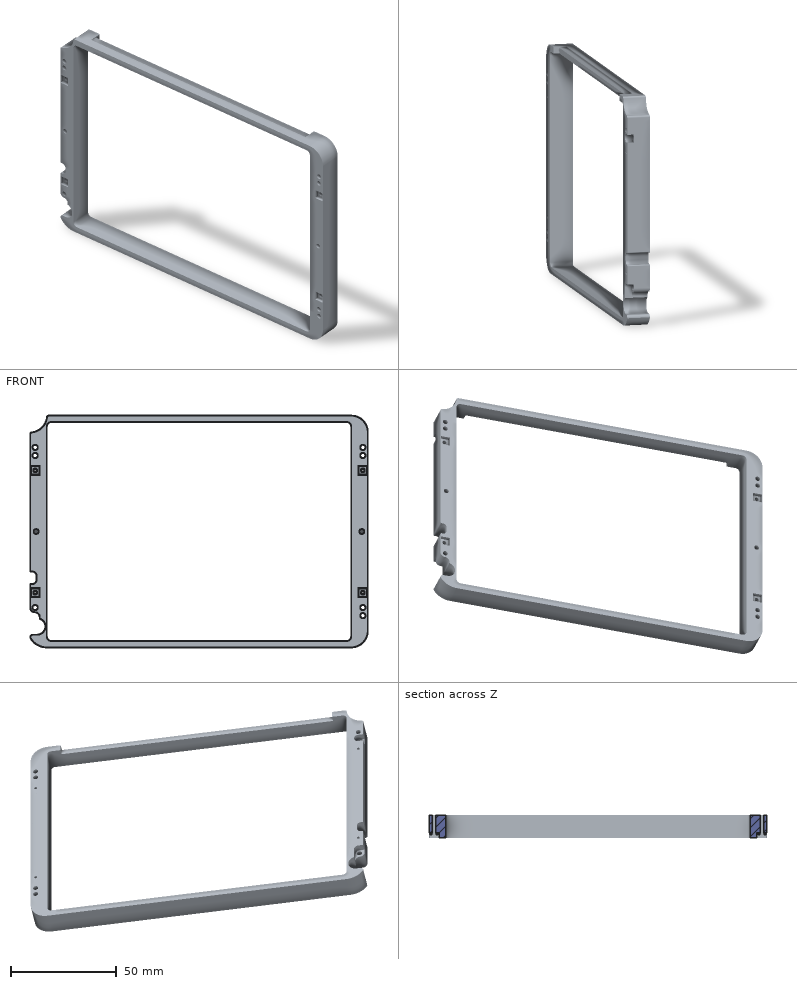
import cadquery as cq
import math

LENGTH = 159.7
RIGHT_X = LENGTH / 2
LEFT_X = -RIGHT_X
HEIGHT = 109.7
TOP_Z = HEIGHT / 2
BOTTOM_Z = -TOP_Z
DEPTH = 11.0
FRONT_Y = -DEPTH / 2
BACK_Y = DEPTH / 2
CORNER_RADIUS = 8.0
OVERCUT = 1.6

WINDOW_WIDTH = 143.7
WINDOW_HEIGHT = 103.3
WINDOW_RADIUS = 1.9

SCOOP_RADIUS = 8.0
SCOOP_EDGE_RADIUS = 1.0

NOTCH_Z = -21.9
NOTCH_HEIGHT = 5.7
NOTCH_DEPTH = 3.0
NOTCH_CORNER_RADIUS = 1.9
NOTCH_LIP_RADIUS = 0.5

HOLE_X = 77.5
HOLE_INNER_Z = 36.0
HOLE_OUTER_Z = 39.8
HOLE_DIAMETER = 2.4
BLIND_HOLE_X = 77.0
BLIND_HOLE_DEPTH = 3.2

RELIEF_WIDTH = 4.0
RELIEF_DEPTH = 3.4

LOBE_RADIUS = 2.2
LOBE_X = LEFT_X + LOBE_RADIUS
LOBE_BOTTOM_Z = -HOLE_INNER_Z - LOBE_RADIUS
STEP_RADIUS = LOBE_RADIUS
STEP_X = LOBE_X + STEP_RADIUS
BAY_X = -76.5
BAY_Z = -44.9
BAY_RADIUS = 3.8
BAY_TOP_Z = BAY_Z + math.sqrt(BAY_RADIUS**2 - (STEP_X - BAY_X) ** 2)
BAY_BOTTOM_Z = BAY_Z - BAY_RADIUS
TIP_RADIUS = 1.5
HOOK_END_X = -71.9

RECESS_X = 0.3
RECESS_LENGTH = 130.3
RECESS_WIDTH = 6.4
RECESS_DEPTH = 0.5
GAP_WIDTH = 2.9

NUT_X = 77.5
NUT_Z = 28.9
NUT_SIZE = 3.8
NUT_THICKNESS = 1.1
NUT_HOLE_DIAMETER = 1.9
POCKET_SIZE = 4.5
POCKET_DEPTH = 2.5
SCREW_HOLE_DIAMETER = 1.35
NUT_CENTRES = [(x, z) for x in (-NUT_X, NUT_X) for z in (-NUT_Z, NUT_Z)]


def plane_at(y):
    """Workplane at depth y whose axes are X and Z; positive extrusion goes toward the front."""
    return cq.Workplane("XZ", origin=(0, y, 0))


def block(x_min, x_max, y_min, y_max, z_min, z_max):
    size = (x_max - x_min, y_max - y_min, z_max - z_min)
    return cq.Workplane("XY").box(*size, centered=False).translate((x_min, y_min, z_min))


def cylinders(centres, diameter, y_front, length):
    """Cylinders along Y that start at y_front and run toward the back."""
    return plane_at(y_front).pushPoints(centres).circle(diameter / 2).extrude(-length)


def make_plate():
    """Solid plate with rounded right corners, a scooped top-left and a hooked bottom-left corner."""
    tip_z = BAY_BOTTOM_Z - TIP_RADIUS
    outline = (
        plane_at(BACK_Y)
        .moveTo(HOOK_END_X, BOTTOM_Z)
        .lineTo(RIGHT_X - CORNER_RADIUS, BOTTOM_Z)
        .tangentArcPoint((RIGHT_X, BOTTOM_Z + CORNER_RADIUS), relative=False)
        .lineTo(RIGHT_X, TOP_Z - CORNER_RADIUS)
        .tangentArcPoint((RIGHT_X - CORNER_RADIUS, TOP_Z), relative=False)
        .lineTo(LEFT_X + SCOOP_RADIUS, TOP_Z)
        .radiusArc((LEFT_X, TOP_Z - SCOOP_RADIUS), SCOOP_RADIUS)
        .lineTo(LEFT_X, -HOLE_INNER_Z)
        .tangentArcPoint((LOBE_X, LOBE_BOTTOM_Z), relative=False)
        .tangentArcPoint((STEP_X, LOBE_BOTTOM_Z - STEP_RADIUS), relative=False)
        .lineTo(STEP_X, BAY_TOP_Z)
        .threePointArc((BAY_X + BAY_RADIUS, BAY_Z), (BAY_X, BAY_BOTTOM_Z))
        .lineTo(LEFT_X + TIP_RADIUS, BAY_BOTTOM_Z)
        .tangentArcPoint((LEFT_X, tip_z), relative=False)
    )
    run = HOOK_END_X - LEFT_X
    rise = tip_z - BOTTOM_Z
    hook_radius = (run**2 + rise**2) / (2 * rise)
    half_angle = math.atan2(rise, run)
    middle = (
        HOOK_END_X - hook_radius * math.sin(half_angle),
        BOTTOM_Z + hook_radius * (1 - math.cos(half_angle)),
    )
    plate = outline.threePointArc(middle, (HOOK_END_X, BOTTOM_Z)).close().extrude(DEPTH)
    scoop_ends = [(LEFT_X + SCOOP_RADIUS, TOP_Z), (LEFT_X, TOP_Z - SCOOP_RADIUS)]
    return round_edges(plate, scoop_ends, SCOOP_EDGE_RADIUS)


def round_edges(body, points, radius):
    """Fillet the edges along Y that pass through the given (x, z) points."""
    for x, z in points:
        body = body.edges(cq.selectors.NearestToPointSelector((x, 0, z))).fillet(radius)
    return body


def cut_window(frame):
    window = plane_at(BACK_Y).rect(WINDOW_WIDTH, WINDOW_HEIGHT).extrude(DEPTH)
    return frame.cut(window.edges("|Y").fillet(WINDOW_RADIUS))


def cut_notch(frame):
    top_z = NOTCH_Z + NOTCH_HEIGHT / 2
    bottom_z = NOTCH_Z - NOTCH_HEIGHT / 2
    notch = block(LEFT_X - OVERCUT, LEFT_X + NOTCH_DEPTH, FRONT_Y, BACK_Y, bottom_z, top_z)
    frame = frame.cut(notch.edges("|Y and >X").fillet(NOTCH_CORNER_RADIUS))
    return round_edges(frame, [(LEFT_X, top_z), (LEFT_X, bottom_z)], NOTCH_LIP_RADIUS)


def cut_holes(frame):
    through = [
        (-HOLE_X, HOLE_OUTER_Z),
        (-HOLE_X, HOLE_INNER_Z),
        (-HOLE_X, -HOLE_INNER_Z),
        (HOLE_X, HOLE_OUTER_Z),
        (HOLE_X, HOLE_INNER_Z),
        (HOLE_X, -HOLE_INNER_Z),
        (HOLE_X, -HOLE_OUTER_Z),
    ]
    blind = [(-BLIND_HOLE_X, 0), (BLIND_HOLE_X, 0)]
    frame = frame.cut(cylinders(through, HOLE_DIAMETER, FRONT_Y, DEPTH))
    return frame.cut(cylinders(blind, HOLE_DIAMETER, FRONT_Y, BLIND_HOLE_DEPTH))


def cut_back_reliefs(frame):
    """Round-ended slots behind two left holes; the lower one also opens down into the bay."""
    floor_y = BACK_Y - RELIEF_DEPTH
    outside_x = LEFT_X - OVERCUT
    for z in (HOLE_INNER_Z, -HOLE_INNER_Z):
        frame = frame.cut(cylinders([(-HOLE_X, z)], RELIEF_WIDTH, floor_y, RELIEF_DEPTH))
        frame = frame.cut(
            block(outside_x, -HOLE_X, floor_y, BACK_Y, z - RELIEF_WIDTH / 2, z + RELIEF_WIDTH / 2)
        )
    return frame.cut(block(outside_x, STEP_X, floor_y, BACK_Y, BAY_TOP_Z, -HOLE_INNER_Z))


def cut_top_recess(frame):
    """Shallow step along the top bar, with the rearmost strip cut right through to the window."""
    x_min = RECESS_X - RECESS_LENGTH / 2
    x_max = RECESS_X + RECESS_LENGTH / 2
    step = block(x_min, x_max, BACK_Y - RECESS_WIDTH, BACK_Y, TOP_Z - RECESS_DEPTH, TOP_Z)
    gap = block(x_min, x_max, BACK_Y - GAP_WIDTH, BACK_Y, WINDOW_HEIGHT / 2, TOP_Z)
    return frame.cut(step).cut(gap)


def cut_nut_pockets(frame):
    pockets = (
        plane_at(FRONT_Y).pushPoints(NUT_CENTRES).rect(POCKET_SIZE, POCKET_SIZE).extrude(-POCKET_DEPTH)
    )
    return frame.cut(pockets).cut(cylinders(NUT_CENTRES, SCREW_HOLE_DIAMETER, FRONT_Y, DEPTH))


def make_frame():
    frame = make_plate()
    frame = cut_window(frame)
    frame = cut_notch(frame)
    frame = cut_holes(frame)
    frame = cut_back_reliefs(frame)
    frame = cut_top_recess(frame)
    return cut_nut_pockets(frame)


def make_nut(x, z):
    """Square nut lying on the floor of its pocket."""
    return (
        plane_at(FRONT_Y + POCKET_DEPTH)
        .center(x, z)
        .rect(NUT_SIZE, NUT_SIZE)
        .circle(NUT_HOLE_DIAMETER / 2)
        .extrude(NUT_THICKNESS)
    )


frame = make_frame()
nuts = [make_nut(x, z) for x, z in NUT_CENTRES]

result = cq.Compound.makeCompound([frame.val(), *[nut.val() for nut in nuts]])